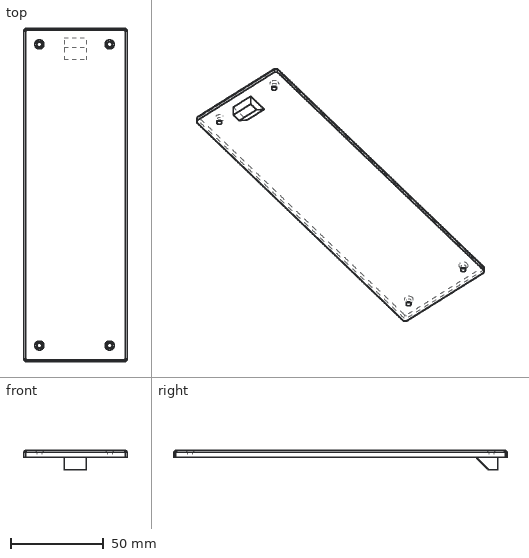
import cadquery as cq

plate_width = 56.0
plate_length = 180.0
total_height = 10.6
plate_thickness = 4.0
edge_chamfer = 1.0

hole_spacing_x = 38.0
hole_spacing_y = 162.7
hole_pattern_x = -0.5
hole_diameter = 2.7
countersink_diameter = 4.9
countersink_angle = 90.0

hook_width = 12.0
hook_centre_x = -0.2
hook_end_gap = 5.0
hook_tip_length = 5.0
hook_height = total_height - plate_thickness
hook_root_length = hook_tip_length + hook_height


def make_plate():
    """Slab with chamfered upright corners and a chamfered top rim."""
    return (
        cq.Workplane("XY")
        .box(plate_width, plate_length, plate_thickness, centered=(True, True, False))
        .edges("|Z")
        .chamfer(edge_chamfer)
        .faces(">Z")
        .chamfer(edge_chamfer)
    )


def drill_screw_holes(plate):
    """Countersunk through holes near the four corners."""
    return (
        plate.faces(">Z")
        .workplane(origin=(hole_pattern_x, 0, plate_thickness))
        .rarray(hole_spacing_x, hole_spacing_y, 2, 2)
        .cskHole(hole_diameter, countersink_diameter, countersink_angle)
    )


def make_hook():
    """Block hanging from the underside, sloping toward the plate centre."""
    outer_y = plate_length / 2 - hook_end_gap
    profile = [
        (outer_y, 0),
        (outer_y, -hook_height),
        (outer_y - hook_tip_length, -hook_height),
        (outer_y - hook_root_length, 0),
    ]
    return (
        cq.Workplane("YZ", origin=(hook_centre_x, 0, 0))
        .polyline(profile)
        .close()
        .extrude(hook_width / 2, both=True)
    )


result = drill_screw_holes(make_plate()).union(make_hook())